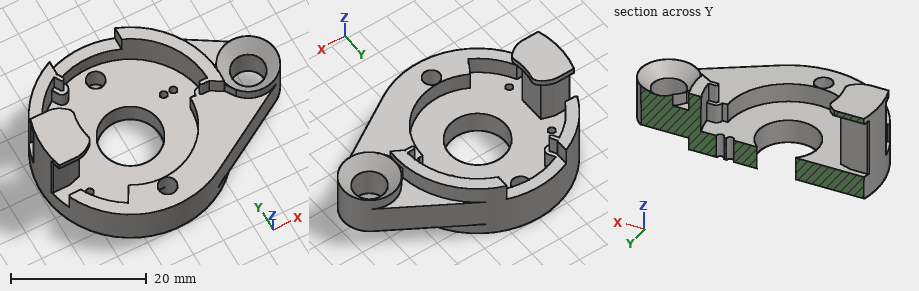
import cadquery as cq
import math

overall_length = 39.4
body_radius = 30.0 / 2
wall_radius = 13
ledge_radius = 10.0
bore_diameter = 10.0
boss_x = 19.7
boss_radius = overall_length - body_radius - boss_x

arm_bottom = 2.0
floor_z = 3.9
rim_z = 7.0
boss_z = 9.0
wall_z = 10.0
cap_bottom = 13.2
cap_top = 14.2

screw_diameter = 5.4
countersink_depth = boss_radius - screw_diameter / 2

ledge_start_angle = 240

hook_angles = (0, 120)
hook_radius = 11.85
tongue_half_width = 0.3
pad_half_width = 1.0
hook_root = wall_radius + 0.6

left_wall_end_x = -6.15
right_wall_start_x = 5.0
wall_end_slope = math.tan(math.radians(30))

slot_half_width = 6.0
slot_floor_x = -9.85
slot_chamfer_x = -13.4
post_half_width = 3.0
post_chamfer_x = -14.55
post_back_half_width = 2.35
post_bend_x = -11.82
post_back_x = -9.8
cap_half_width = 4.45
cap_corner_x = -11.7
cap_shoulder_mid = (-10.2, 4.2)
cap_shoulder = (-8.9, 3.43)
cap_lobe_mid = (-8.4, 2.9)
cap_lobe = (-8.25, 2.3)
cap_waist_x = -8.5

mount_hole_diameter = 2.9
mount_holes = [(0, 10.75), (0, -11.5)]
pin_hole_diameter = 1.2
pin_holes = [(-9.8, 5.05), (-9.75, -5.45), (7.65, 3.85), (9.25, 3.85)]

bridge_outline = [(14.58, 1.75), (15.0, 1.75), (15.55, 2.35), (17.35, 0), (16.05, -3.05), (15.0, -1.45), (14.58, -1.2)]

outside = 2 * body_radius


def cylinder(radius, bottom, top, x=0):
    return cq.Workplane("XY", origin=(x, 0, bottom)).circle(radius).extrude(top - bottom)


def prism(points, bottom, top):
    return cq.Workplane("XY", origin=(0, 0, bottom)).polyline(points).close().extrude(top - bottom)


def polar(radius, degrees):
    angle = math.radians(degrees)
    return radius * math.cos(angle), radius * math.sin(angle)


def hook(half_width, angle, bottom, top):
    """Round-ended radial finger reaching inward from the wall."""
    finger = (
        cq.Workplane("XY", origin=(0, 0, bottom))
        .moveTo(hook_root, half_width)
        .lineTo(hook_radius, half_width)
        .threePointArc((hook_radius - half_width, 0), (hook_radius, -half_width))
        .lineTo(hook_root, -half_width)
        .close()
        .extrude(top - bottom)
    )
    return finger.rotate((0, 0, 0), (0, 0, 1), angle)


def make_arm():
    """Web whose flanks are tangent to both the body and the boss."""
    tangent_angle = math.degrees(math.acos((body_radius - boss_radius) / boss_x))
    body_x, body_y = polar(body_radius, tangent_angle)
    tip_x, tip_y = polar(boss_radius, tangent_angle)
    tip_x += boss_x
    flanks = [(body_x, body_y), (tip_x, tip_y), (tip_x, -tip_y), (body_x, -body_y)]
    return prism(flanks, arm_bottom, rim_z)


def make_pocket():
    """Full-radius pocket with a lower-right sector held back to the ledge radius."""
    pocket = cylinder(wall_radius, floor_z, rim_z)
    sector = prism(
        [(0, 0), polar(outside, ledge_start_angle), (outside, -outside), (outside, 0)],
        floor_z,
        rim_z,
    )
    ledge = sector.cut(cylinder(ledge_radius, floor_z, rim_z))
    pocket = pocket.cut(ledge)
    for angle in hook_angles:
        pocket = pocket.cut(hook(pad_half_width, angle, floor_z, rim_z))
    return pocket


def make_raised_walls():
    ring = cylinder(body_radius, rim_z, wall_z).cut(cylinder(wall_radius, rim_z, wall_z))
    left_sector = [
        (-outside, slot_half_width),
        (left_wall_end_x, slot_half_width),
        (left_wall_end_x, outside),
        (-outside, outside),
    ]
    end_drop = tongue_half_width + (outside - wall_radius) * wall_end_slope
    right_sector = [
        (right_wall_start_x, outside),
        (right_wall_start_x, -tongue_half_width),
        (wall_radius, -tongue_half_width),
        (outside, -end_drop),
        (outside, outside),
    ]
    walls = ring.intersect(prism(left_sector, rim_z, wall_z))
    walls = walls.union(ring.intersect(prism(right_sector, rim_z, wall_z)))
    for angle in hook_angles:
        walls = walls.union(hook(tongue_half_width, angle, rim_z, wall_z))
    return walls


def mirrored_prism(upper, bottom, top):
    """Prism whose outline is the given upper edge and its mirror image across the X axis."""
    lower = [(x, -y) for x, y in reversed(upper)]
    return prism(upper + lower, bottom, top)


def make_slots():
    """Opening through the rim around the post, with 45-degree chamfers at its mouth."""
    mouth_half_width = slot_half_width + slot_chamfer_x + outside
    edge = [
        (-outside, mouth_half_width),
        (slot_chamfer_x, slot_half_width),
        (slot_floor_x, slot_half_width),
    ]
    return mirrored_prism(edge, floor_z, wall_z)


def make_cap():
    def mirror(point):
        return point[0], -point[1]

    return (
        cq.Workplane("XY", origin=(0, 0, cap_bottom))
        .moveTo(-outside, cap_half_width)
        .lineTo(cap_corner_x, cap_half_width)
        .threePointArc(cap_shoulder_mid, cap_shoulder)
        .threePointArc(cap_lobe_mid, cap_lobe)
        .threePointArc((cap_waist_x, 0), mirror(cap_lobe))
        .threePointArc(mirror(cap_lobe_mid), mirror(cap_shoulder))
        .threePointArc(mirror(cap_shoulder_mid), (cap_corner_x, -cap_half_width))
        .lineTo(-outside, -cap_half_width)
        .close()
        .extrude(cap_top - cap_bottom)
    )


def make_post():
    """Chamfered, tapering post with its overhanging cap, flush with the body edge."""
    front_half_width = post_half_width - (post_chamfer_x + body_radius)
    edge = [
        (-body_radius, front_half_width),
        (post_chamfer_x, post_half_width),
        (post_bend_x, post_half_width),
        (post_back_x, post_back_half_width),
    ]
    column = mirrored_prism(edge, floor_z, cap_bottom)
    return column.union(make_cap()).intersect(cylinder(body_radius, floor_z, cap_top))


def make_countersunk_hole():
    hole_radius = screw_diameter / 2
    profile = [
        (0, arm_bottom),
        (hole_radius, arm_bottom),
        (hole_radius, boss_z - countersink_depth),
        (boss_radius, boss_z),
        (0, boss_z),
    ]
    hole = cq.Workplane("XZ").polyline(profile).close().revolve(360, (0, 0), (0, 1))
    return hole.translate((boss_x, 0, 0))


def make_holes():
    base = cq.Workplane("XY")
    holes = base.circle(bore_diameter / 2).extrude(rim_z)
    holes = holes.union(base.pushPoints(mount_holes).circle(mount_hole_diameter / 2).extrude(rim_z))
    return holes.union(base.pushPoints(pin_holes).circle(pin_hole_diameter / 2).extrude(rim_z))


result = cylinder(body_radius, 0, rim_z).union(make_arm())
result = result.union(cylinder(boss_radius, arm_bottom, boss_z, boss_x))
result = result.cut(make_pocket())
result = result.union(make_raised_walls()).cut(make_slots())
result = result.union(prism(bridge_outline, rim_z, boss_z))
result = result.union(make_post())
result = result.cut(make_countersunk_hole()).cut(make_holes())